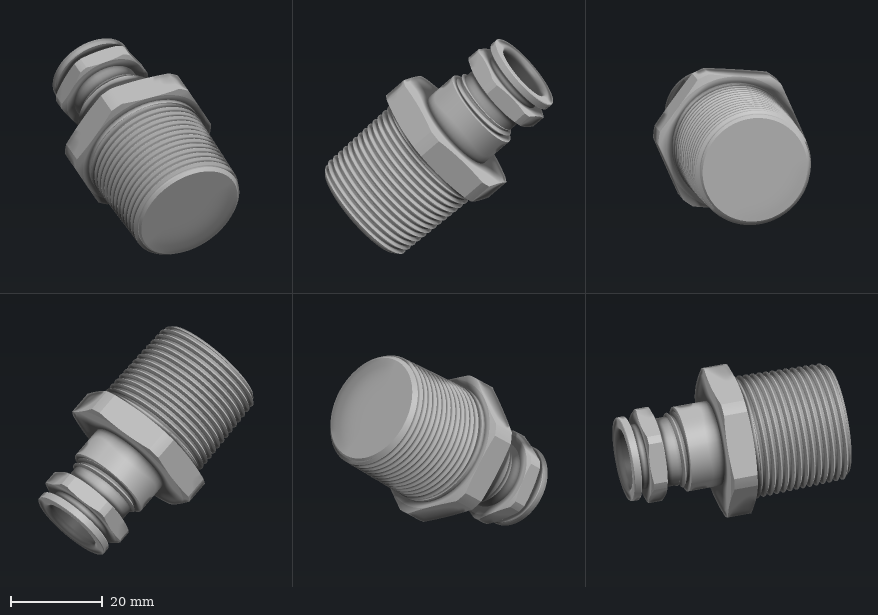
import cadquery as cq
import math


flange_end = 1.75
nut_hex_start = 3.75
nut_hex_end = 7.45
nut_thread_start = 10.8
adapter_start = 12.85
adapter_hex_start = 20.3
adapter_hex_end = 26.3
collar_end = 27.3
adapter_end = 48.47
socket_floor = adapter_hex_start

flange_diameter = 18.61
flange_chamfer = 0.15
sleeve_diameter = 14.45
sleeve_bore = 12.33
mouth_diameter = 15.18

nut_across_flats = 19.0
nut_corner_diameter = 21.0
nut_chamfer_angle = 20.0
nut_shank_diameter = 15.18

adapter_barrel_diameter = 18.8
adapter_across_flats = 30.0
adapter_corner_diameter = 33.15
adapter_hex_turn = -6.9
adapter_chamfer_angle = 13.0
collar_diameter = 27.3
adapter_bore = 11.86

pitch = 1.5
thread_height = 0.78
thread_root_width = 1.05
thread_crest_width = 0.05
thread_sink = 0.25
nut_helix_start = 9.12
adapter_helix_start = 26.5
adapter_thread_turns = 15
thread_taper = 1 / 32
adapter_root_radius = 12.82
thread_end_radius = 11.75


def cylinder(diameter, start, end):
    return cq.Workplane("YZ").workplane(offset=start).circle(diameter / 2).extrude(end - start)


def revolved(points):
    """Solid of revolution about X from (x, radius) points."""
    return cq.Workplane("XY").polyline(points).close().revolve(360, (0, 0, 0), (1, 0, 0))


def hexagon(across_flats, corner_diameter, start, end, chamfer_angle, turn=0.0):
    """Hexagon with rounded corners and both faces chamfered down to the across-flats circle."""
    prism = (
        cq.Workplane("YZ")
        .workplane(offset=start)
        .polygon(6, across_flats / math.cos(math.radians(30)))
        .extrude(end - start)
        .rotate((0, 0, 0), (1, 0, 0), turn)
    )
    flat_radius = across_flats / 2
    corner_radius = corner_diameter / 2
    chamfer = (corner_radius - flat_radius) * math.tan(math.radians(chamfer_angle))
    envelope = revolved(
        [
            (start, 0),
            (start, flat_radius),
            (start + chamfer, corner_radius),
            (end - chamfer, corner_radius),
            (end, flat_radius),
            (end, 0),
        ]
    )
    return prism.intersect(envelope)


def thread_ridge(root_radius, start, end, taper=0.0):
    """Helical ridge, centred on -Z at `start`, whose root radius shrinks by `taper` along X."""
    widening = (thread_root_width - thread_crest_width) / 2 * thread_sink / thread_height
    half_base = thread_root_width / 2 + widening
    half_crest = thread_crest_width / 2
    base_radius = root_radius - thread_sink
    crest_radius = root_radius + thread_height
    profile = (
        cq.Workplane("XZ")
        .moveTo(base_radius, -half_base)
        .lineTo(crest_radius, -half_crest)
        .lineTo(crest_radius, half_crest)
        .lineTo(base_radius, half_base)
        .close()
    )
    if taper:
        taper_angle = -math.degrees(math.atan(taper))
        helix = cq.Wire.makeHelix(pitch, end - start, root_radius, angle=taper_angle)
    else:
        helix = cq.Wire.makeHelix(pitch, end - start, root_radius)
    ridge = profile.sweep(cq.Workplane(helix), isFrenet=True)
    return ridge.rotate((0, 0, 0), (0, 1, 0), 90).translate((start, 0, 0))


def make_sleeve():
    flange = cylinder(flange_diameter, 0, flange_end).edges().chamfer(flange_chamfer)
    tube = cylinder(sleeve_diameter, 0, socket_floor)
    bore = cylinder(sleeve_bore, 0, socket_floor)
    pierced = flange.union(tube).cut(bore)
    mouth_edge = pierced.faces("<X").edges(cq.selectors.RadiusNthSelector(0))
    return mouth_edge.fillet((mouth_diameter - sleeve_bore) / 2)


def make_nut():
    hexagonal_head = hexagon(
        nut_across_flats, nut_corner_diameter, nut_hex_start, nut_hex_end, nut_chamfer_angle
    )
    shank = cylinder(nut_shank_diameter, nut_hex_start, socket_floor)
    ridge = thread_ridge(nut_shank_diameter / 2, nut_helix_start, adapter_start + pitch)
    thread_zone = cylinder(nut_corner_diameter, nut_thread_start, adapter_start)
    thread = ridge.intersect(thread_zone)
    bore = cylinder(sleeve_diameter, nut_hex_start, socket_floor)
    return hexagonal_head.union(shank).union(thread).cut(bore)


def make_adapter():
    barrel = cylinder(adapter_barrel_diameter, adapter_start, adapter_hex_end)
    hexagonal_flange = hexagon(
        adapter_across_flats,
        adapter_corner_diameter,
        adapter_hex_start,
        adapter_hex_end,
        adapter_chamfer_angle,
        adapter_hex_turn,
    )
    collar = cylinder(collar_diameter, adapter_hex_end, collar_end)

    def root_radius(x):
        return adapter_root_radius - (x - collar_end) * thread_taper

    helix_end = adapter_helix_start + adapter_thread_turns * pitch
    core_end = helix_end + 2 * pitch
    core = revolved(
        [
            (adapter_hex_start, 0),
            (adapter_hex_start, root_radius(adapter_hex_start)),
            (core_end, root_radius(core_end)),
            (core_end, 0),
        ]
    )
    ridge = thread_ridge(
        root_radius(adapter_helix_start), adapter_helix_start, helix_end, thread_taper
    )
    envelope_radius = adapter_corner_diameter / 2
    envelope = revolved(
        [
            (adapter_hex_start, 0),
            (adapter_hex_start, envelope_radius),
            (adapter_end + thread_end_radius - envelope_radius, envelope_radius),
            (adapter_end, thread_end_radius),
            (adapter_end, 0),
        ]
    )
    threaded_end = core.union(ridge).intersect(envelope)
    adapter = barrel.union(hexagonal_flange).union(collar).union(threaded_end)
    socket = cylinder(nut_shank_diameter, adapter_start, socket_floor)
    bore = cylinder(adapter_bore, socket_floor, adapter_end)
    return adapter.cut(socket).cut(bore)


def make_plug():
    """Filling that closes the adapter bore from the socket floor to the end face."""
    return cylinder(adapter_bore, socket_floor, adapter_end)


sleeve = make_sleeve()
nut = make_nut()
adapter = make_adapter()
plug = make_plug()

bodies = [sleeve, nut, adapter, plug]
result = cq.Compound.makeCompound([body.solids().val() for body in bodies])